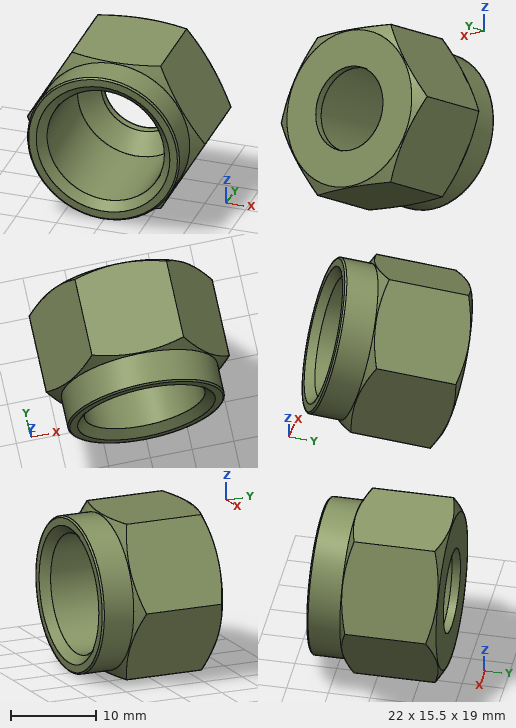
import cadquery as cq
import math

across_corners = 21.95
hex_length = 11.5
hex_chamfer_angle = 30.0

collar_length = 4.0
collar_diameter = 18.75
collar_chamfer = 0.2

mouth_diameter = 16.5
bore_diameter = 14.48
tube_hole_diameter = 10.1
bore_depth = 12.29

total_length = collar_length + hex_length
corner_radius = across_corners / 2
hex_end_radius = collar_diameter / 2
hex_chamfer_length = (corner_radius - hex_end_radius) * math.tan(math.radians(hex_chamfer_angle))
mouth_radius = mouth_diameter / 2
bore_radius = bore_diameter / 2
tube_hole_radius = tube_hole_diameter / 2
mouth_depth = mouth_radius - bore_radius
cone_end_depth = bore_depth + bore_radius - tube_hole_radius


def revolve_about_y(profile):
    """Turn (radius, y) points into a solid of revolution about the Y axis."""
    return cq.Workplane("XY").polyline(profile).close().revolve(360, (0, 0, 0), (0, 1, 0))


def chamfered_hexagon():
    """Hexagon whose corners are cut by a cone at each end."""
    prism = (
        cq.Workplane("XZ", origin=(0, collar_length, 0))
        .polygon(6, across_corners)
        .extrude(-hex_length)
    )
    envelope = revolve_about_y([
        (0, collar_length),
        (hex_end_radius, collar_length),
        (corner_radius, collar_length + hex_chamfer_length),
        (corner_radius, total_length - hex_chamfer_length),
        (hex_end_radius, total_length),
        (0, total_length),
    ])
    return prism.intersect(envelope)


def collar():
    """Round collar with a chamfered front rim."""
    return (
        cq.Workplane("XZ")
        .circle(collar_diameter / 2)
        .extrude(-collar_length)
        .faces("<Y")
        .chamfer(collar_chamfer)
    )


def passage():
    """Countersunk mouth, bore, inner cone and tube hole."""
    return revolve_about_y([
        (0, 0),
        (mouth_radius, 0),
        (bore_radius, mouth_depth),
        (bore_radius, bore_depth),
        (tube_hole_radius, cone_end_depth),
        (tube_hole_radius, total_length),
        (0, total_length),
    ])


result = chamfered_hexagon().union(collar()).cut(passage())